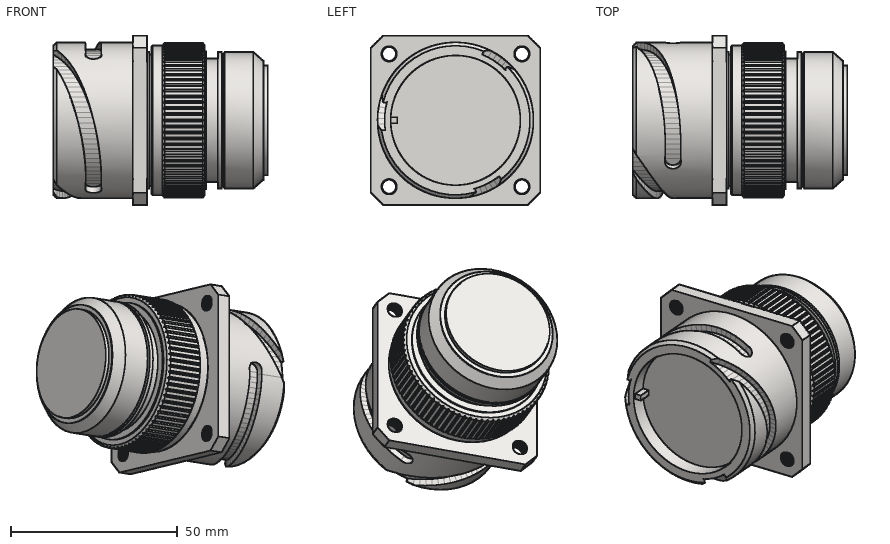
import cadquery as cq
import math

overall_length = 64.4

shell_radius = 23.4
shell_chamfer_length = 1.15
shell_chamfer_depth = 1.0
cavity_radius = 19.45
cavity_depth = 5.0
key_length = 4.2
key_height = 2.05
key_width = 1.75

flange_start = 23.9
flange_end = 28.2
flange_side = 50.8
flange_corner_chamfer = 3.75
hole_offset = 19.9
thread_minor_radius = 2.05
thread_major_radius = 2.3
thread_pitch = 0.7

slot_count = 3
slot_floor_radius = 21.25
slot_width = 4.65
slot_end_diameter = 4.8
slot_end_x = 12.1
slot_end_angle = -62.4
slot_bend_angle = -48.0
slot_bend_radius = 82.4
slot_exit_angle = 80.0
slot_step_count = 33

neck_1_radius = 20.55
neck_1_end = 28.85
neck_2_radius = 19.8
collar_start = 29.5
collar_radius = 22.5
collar_edge_chamfer = 0.4
knurl_start = 32.8
knurl_end = 45.5
knurl_radius = 23.25
knurl_chamfer_length = 0.7
knurl_chamfer_depth = 0.9
rim_radius = 20.75
rim_end = 46.0
waist_radius = 18.55
ring_start = 49.4
ring_end = 50.6
groove_radius = 18.75
nut_start = 51.0
nut_radius = 20.5
nut_edge_chamfer = 0.5
cone_start = 60.0
cone_end = 62.9
end_face = 63.2
cone_end_radius = 17.9
tip_radius = 16.5

knurl_count = 80
knurl_groove_width = 0.8
knurl_groove_depth = 0.4

cut_margin = 1.3


def make_body():
    """Revolve the whole stepped outline about X."""
    knurl_edge_radius = knurl_radius - knurl_chamfer_depth
    outline = [
        (0, 0),
        (0, shell_radius - shell_chamfer_depth),
        (shell_chamfer_length, shell_radius),
        (flange_end, shell_radius),
        (flange_end, neck_1_radius),
        (neck_1_end, neck_1_radius),
        (neck_1_end, neck_2_radius),
        (collar_start, neck_2_radius),
        (collar_start, collar_radius - collar_edge_chamfer),
        (collar_start + collar_edge_chamfer, collar_radius),
        (knurl_start, collar_radius),
        (knurl_start + knurl_chamfer_length, knurl_radius),
        (knurl_end - knurl_chamfer_length, knurl_radius),
        (knurl_end, knurl_edge_radius),
        (knurl_end, rim_radius),
        (rim_end, rim_radius),
        (rim_end, waist_radius),
        (ring_start, waist_radius),
        (ring_start, nut_radius),
        (ring_end, nut_radius),
        (ring_end, groove_radius),
        (nut_start, groove_radius),
        (nut_start, nut_radius - nut_edge_chamfer),
        (nut_start + nut_edge_chamfer, nut_radius),
        (cone_start, nut_radius),
        (cone_end, cone_end_radius),
        (end_face, cone_end_radius),
        (end_face, tip_radius),
        (overall_length, tip_radius),
        (overall_length, 0),
    ]
    return cq.Workplane("XY").polyline(outline).close().revolve(360, (0, 0), (1, 0))


def make_flange():
    return (
        cq.Workplane("YZ", origin=(flange_start, 0, 0))
        .rect(flange_side, flange_side)
        .extrude(flange_end - flange_start)
        .edges("|X")
        .chamfer(flange_corner_chamfer)
    )


def make_threaded_hole():
    """Hole cutter along X with a ring groove for each thread turn."""
    half_pitch = thread_pitch / 2
    turn_count = int((flange_end - flange_start) / thread_pitch)
    outline = [(flange_start, 0), (flange_start, thread_major_radius)]
    for turn in range(turn_count):
        start = flange_start + turn * thread_pitch
        outline.append((start + half_pitch, thread_minor_radius))
        outline.append((start + thread_pitch, thread_major_radius))
    outline += [(flange_end, thread_major_radius), (flange_end, 0)]
    return cq.Workplane("XY").polyline(outline).close().revolve(360, (0, 0), (1, 0))


def make_cavity():
    """Cavity cutter that leaves the key standing on the floor at the +Y side."""
    cavity = cq.Workplane("YZ").circle(cavity_radius).extrude(cavity_depth)
    key = (
        cq.Workplane("YZ", origin=(cavity_depth - key_length, 0, 0))
        .center(cavity_radius, 0)
        .rect(2 * key_height, key_width)
        .extrude(key_length)
    )
    return cavity.cut(key)


def slot_section(angle):
    """Slot cross-section in the half-plane through X, turned by angle from -Y towards +Z."""
    bend_run = math.radians(max(angle - slot_bend_angle, 0)) * shell_radius
    bend_center_x = slot_end_x - slot_bend_radius
    sides = [
        bend_center_x + math.sqrt((slot_bend_radius + offset) ** 2 - bend_run**2)
        for offset in (-slot_width / 2, slot_width / 2)
    ]
    outward = cq.Vector(0, -math.cos(math.radians(angle)), math.sin(math.radians(angle)))
    floor = outward * slot_floor_radius
    top = outward * (shell_radius + cut_margin)
    corners = [
        cq.Vector(sides[0], 0, 0) + floor,
        cq.Vector(sides[1], 0, 0) + floor,
        cq.Vector(sides[1], 0, 0) + top,
        cq.Vector(sides[0], 0, 0) + top,
    ]
    return cq.Wire.makePolygon(corners, close=True)


def make_slot():
    """Bayonet slot cutter: a curved track with a round end."""
    step = (slot_exit_angle - slot_end_angle) / slot_step_count
    sections = [slot_section(slot_end_angle + step * i) for i in range(slot_step_count + 1)]
    track = cq.Workplane(cq.Solid.makeLoft(sections, True))
    round_end = (
        cq.Workplane("XZ", origin=(slot_end_x, -slot_floor_radius, 0))
        .circle(slot_end_diameter / 2)
        .extrude(shell_radius + cut_margin - slot_floor_radius)
        .rotate((0, 0, 0), (1, 0, 0), -slot_end_angle)
    )
    return track.union(round_end)


def make_knurl_grooves():
    """V-groove cutters around the coupling ring."""
    half_width = knurl_groove_width / 2
    groove = (
        cq.Workplane("YZ", origin=(knurl_start, 0, 0))
        .moveTo(0, knurl_radius - knurl_groove_depth)
        .lineTo(half_width, knurl_radius)
        .lineTo(half_width, knurl_radius + cut_margin)
        .lineTo(-half_width, knurl_radius + cut_margin)
        .lineTo(-half_width, knurl_radius)
        .close()
        .extrude(knurl_end - knurl_start)
    )
    pitch_angle = 360 / knurl_count
    return [groove.rotate((0, 0, 0), (1, 0, 0), pitch_angle * i).val() for i in range(knurl_count)]


part = make_body().union(make_flange()).cut(make_cavity())

slot = make_slot()
for i in range(slot_count):
    part = part.cut(slot.rotate((0, 0, 0), (1, 0, 0), 360 / slot_count * i))

hole = make_threaded_hole()
for y in (-hole_offset, hole_offset):
    for z in (-hole_offset, hole_offset):
        part = part.cut(hole.translate((0, y, z)))

result = cq.Workplane(part.val().cut(*make_knurl_grooves()))